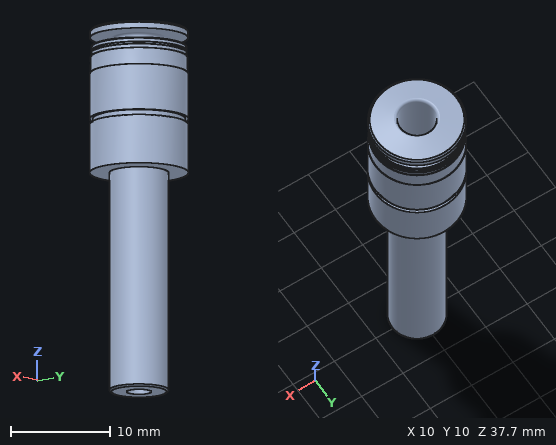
import cadquery as cq
import math

total_height = 37.7

stem_d = 6.0
body_d = 10.0
body_groove_d = 9.4
sleeve_bottom_d = 9.9
sleeve_top_d = 9.8
collar_d = 9.7
collar_groove_d = 9.4
neck_d = 5.0
button_d = 9.9
button_crown_d = 9.55
passage_d = 2.5
tube_bore_d = 4.0

body_bottom = 22.6
body_groove_bottom = 27.55
body_groove_top = 28.12
body_top = 32.8
sleeve_top = 34.5
collar_groove_bottom = 34.9
collar_groove_top = 35.15
collar_top = 35.6
button_bottom = 36.5
button_edge_top = 37.1
crown_edge = 37.3

stem_chamfer = 0.2
collar_chamfer = 0.1
neck_fillet = 0.35
mouth_fillet = 0.35
tube_bore_depth = total_height - body_bottom

stem_to_neck = [
    (stem_d - 2 * stem_chamfer, 0),
    (stem_d, stem_chamfer),
    (stem_d, body_bottom),
    (body_d, body_bottom),
    (body_d, body_groove_bottom),
    (body_groove_d, body_groove_bottom),
    (body_groove_d, body_groove_top),
    (body_d, body_groove_top),
    (body_d, body_top),
    (sleeve_bottom_d, body_top),
    (sleeve_top_d, sleeve_top),
    (collar_d, sleeve_top),
    (collar_d, collar_groove_bottom),
    (collar_groove_d, collar_groove_bottom),
    (collar_groove_d, collar_groove_top),
    (collar_d, collar_groove_top),
    (collar_d, collar_top - collar_chamfer),
    (collar_d - 2 * collar_chamfer, collar_top),
    (neck_d, collar_top),
    (neck_d, button_bottom - neck_fillet),
]

button = [
    (neck_d + 2 * neck_fillet, button_bottom),
    (button_d, button_bottom),
    (button_d, button_edge_top),
    (button_crown_d, crown_edge),
    (tube_bore_d + 2 * mouth_fillet, total_height),
]

bore = [
    (tube_bore_d, total_height - mouth_fillet),
    (tube_bore_d, total_height - tube_bore_depth),
    (passage_d, total_height - tube_bore_depth),
    (passage_d, 0),
]


def profile_points(steps):
    """Turn (diameter, height) pairs into (radius, height) points."""
    return [(diameter / 2, height) for diameter, height in steps]


def point_on_arc(center, radius, angle):
    """Point on a circle at the given angle in degrees."""
    turn = math.radians(angle)
    return (center[0] + radius * math.cos(turn), center[1] + radius * math.sin(turn))


stem_points = profile_points(stem_to_neck)
button_points = profile_points(button)
bore_points = profile_points(bore)

neck_fillet_center = (neck_d / 2 + neck_fillet, button_bottom - neck_fillet)
mouth_fillet_center = (tube_bore_d / 2 + mouth_fillet, total_height - mouth_fillet)

result = (
    cq.Workplane("XZ")
    .polyline(stem_points)
    .threePointArc(point_on_arc(neck_fillet_center, neck_fillet, 135), button_points[0])
    .polyline(button_points[1:], includeCurrent=True)
    .threePointArc(point_on_arc(mouth_fillet_center, mouth_fillet, 135), bore_points[0])
    .polyline(bore_points[1:], includeCurrent=True)
    .close()
    .revolve(360, (0, 0), (0, 1))
)